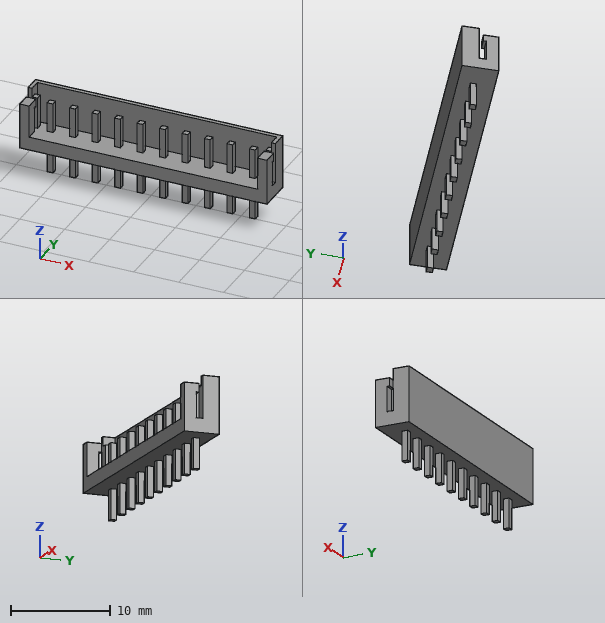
import cadquery as cq

pin_count = 10
pin_pitch = 2.5
pin_width = 0.64
pin_tail_length = 3.2
pin_top = 4.8
pin_axis_from_back = 1.6

end_margin = 2.5
housing_length = (pin_count - 1) * pin_pitch + 2 * end_margin
housing_depth = 3.8
housing_height = 6.0
floor_thickness = 1.5
back_wall = 0.5
end_wall = 0.45
end_wall_depth = 1.8

post_width = 1.05
post_height = 5.1
post_depth = 1.6
post_undercut = 0.3
lip_height = 0.9
rib_thickness = 0.7
rib_top = 5.0


def box_between(x_range, y_range, z_range):
    """Axis-aligned box spanning the given ranges."""
    x_min, x_max = x_range
    y_min, y_max = y_range
    z_min, z_max = z_range
    size = (x_max - x_min, y_max - y_min, z_max - z_min)
    return cq.Workplane("XY").box(*size, centered=False).translate((x_min, y_min, z_min))


def make_floor_and_back():
    x_range = (-housing_length / 2, housing_length / 2)
    floor = box_between(x_range, (-housing_depth, 0), (0, floor_thickness))
    back = box_between(x_range, (-back_wall, 0), (0, housing_height))
    return floor.union(back)


def make_left_end():
    """End wall, inner rib and front post at the -X end."""
    outer_x = -housing_length / 2
    wall = box_between((outer_x, outer_x + end_wall), (-end_wall_depth, 0), (0, housing_height))
    rib = box_between(
        (outer_x, outer_x + post_width),
        (-end_wall_depth, -end_wall_depth + rib_thickness),
        (0, rib_top),
    )
    return wall.union(rib).union(make_post(outer_x))


def make_post(outer_x):
    """Front post whose top overhangs the slot behind it as a small lip."""
    front_y = -housing_depth
    lip_y = front_y + post_depth
    stem_y = lip_y - post_undercut
    lip_z = post_height - lip_height
    profile = [
        (front_y, 0),
        (stem_y, 0),
        (stem_y, lip_z),
        (lip_y, lip_z),
        (lip_y, post_height),
        (front_y, post_height),
    ]
    return cq.Workplane("YZ", origin=(outer_x, 0, 0)).polyline(profile).close().extrude(post_width)


def make_pin(center_x):
    half = pin_width / 2
    return box_between(
        (center_x - half, center_x + half),
        (-pin_axis_from_back - half, -pin_axis_from_back + half),
        (-pin_tail_length, pin_top),
    )


left_end = make_left_end()
result = make_floor_and_back().union(left_end).union(left_end.mirror("YZ"))
first_pin_x = -(pin_count - 1) * pin_pitch / 2
for index in range(pin_count):
    result = result.union(make_pin(first_pin_x + index * pin_pitch))